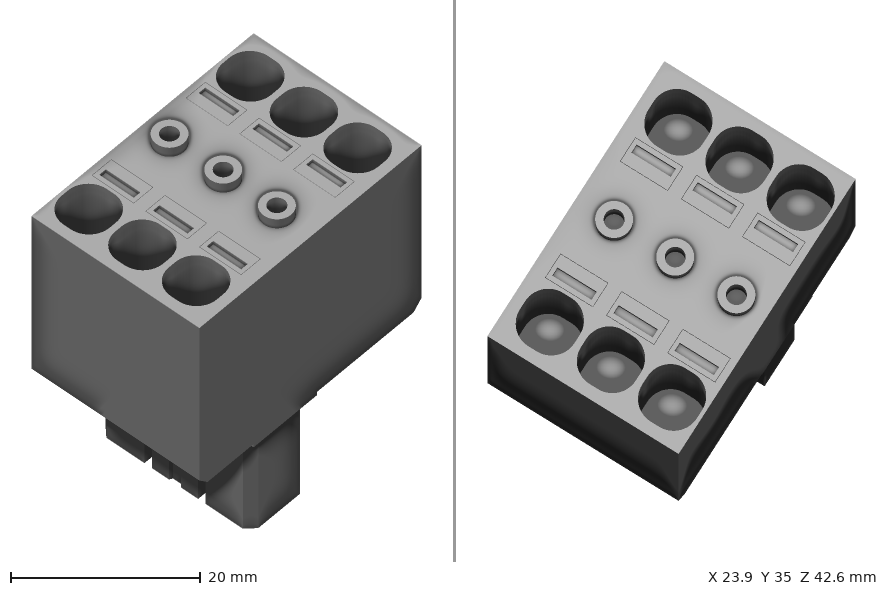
import cadquery as cq


POLE_PITCH = 7.62
POLE_OFFSET_X = -0.45
POLE_XS = [POLE_OFFSET_X + i * POLE_PITCH for i in (-1, 0, 1)]
FIRST_POLE, MIDDLE_POLE, LAST_POLE = range(len(POLE_XS))
ROW_SIDES = (-1, 1)

TOTAL_HEIGHT = 42.6
COLLAR_HEIGHT = 1.4
LEG_LENGTH = 15.45
BASE_PAD_HEIGHT = 0.5
BLOCK_TOP_Z = TOTAL_HEIGHT - COLLAR_HEIGHT
BLOCK_BOTTOM_Z = LEG_LENGTH + BASE_PAD_HEIGHT

BLOCK_X = 23.85
BLOCK_Y = 35.05
BLOCK_CHAMFER = 1.28
BASE_PAD_Y = 10.05
BASE_PAD_CENTER_Y = -3.95

WIRE_ENTRY_SIZE = 6.8
WIRE_ENTRY_CORNER_RADIUS = 2.9
WIRE_ENTRY_DEPTH = 12.77
WIRE_ENTRY_Y = 12.75

COLLAR_DIAMETER = 4.0
COLLAR_HOLE_DIAMETER = 2.2
COLLAR_HOLE_DEPTH = 2.55

LEVER_X = 5.88
LEVER_Y = 3.0
LEVER_DEPTH = 4.25
LEVER_CENTER_Y = 7.4
LEVER_CLEARANCE = 0.05
LEVER_SLOT_X = 4.9
LEVER_SLOT_Y = 1.02
LEVER_SLOT_DEPTH = 0.5
LEVER_SLOT_SHIFT_Y = 0.43

LEG_X = 6.55
LEG_OFFSET_X = 0.3
LAST_LEG_TRIM = 0.13
LEG_FRONT_Y = -7.9
LEG_BACK_YS = (-0.85, -0.6, -0.2)
LEG_CHAMFER = 1.15
GROOVE_MOUTH = 1.7
GROOVE_FLOOR = 1.28
GROOVE_DEPTH = 0.4


def top_block(size_x, size_y, depth, x, y):
    """Rectangular block whose top face is level with the top of the housing block."""
    block = cq.Workplane("XY").box(size_x, size_y, depth, centered=(True, True, False))
    return block.translate((x, y, BLOCK_TOP_Z - depth))


def make_block():
    """Main block with its two lower long edges chamfered, plus the pad below it."""
    height = BLOCK_TOP_Z - BLOCK_BOTTOM_Z
    block = (
        cq.Workplane("XY")
        .workplane(offset=BLOCK_BOTTOM_Z)
        .box(BLOCK_X, BLOCK_Y, height, centered=(True, True, False))
        .faces("<Z")
        .edges("|X")
        .chamfer(BLOCK_CHAMFER)
    )
    pad = (
        cq.Workplane("XY")
        .workplane(offset=LEG_LENGTH)
        .center(0, BASE_PAD_CENTER_Y)
        .box(BLOCK_X, BASE_PAD_Y, BASE_PAD_HEIGHT, centered=(True, True, False))
    )
    return block.union(pad)


def make_leg(index):
    """Plain rectangular leg hanging below the pad; the last one is trimmed on its outer side."""
    x_min = POLE_XS[index] + LEG_OFFSET_X - LEG_X / 2
    width = LEG_X - LAST_LEG_TRIM if index == LAST_POLE else LEG_X
    depth = LEG_BACK_YS[index] - LEG_FRONT_Y
    leg = cq.Workplane("XY").box(width, depth, LEG_LENGTH, centered=False)
    return leg.translate((x_min, LEG_FRONT_Y, 0))


def make_key_groove():
    """Trapezoidal groove down the front of the middle leg, narrower at its floor."""
    floor_y = LEG_FRONT_Y + GROOVE_DEPTH
    outline = [
        (-GROOVE_MOUTH / 2, LEG_FRONT_Y),
        (GROOVE_MOUTH / 2, LEG_FRONT_Y),
        (GROOVE_FLOOR / 2, floor_y),
        (-GROOVE_FLOOR / 2, floor_y),
    ]
    groove = cq.Workplane("XY").polyline(outline).close().extrude(LEG_LENGTH)
    return groove.translate((POLE_XS[MIDDLE_POLE] + LEG_OFFSET_X, 0, 0))


def make_legs():
    """Three legs: the outer two chamfered at their outer front edge, the middle one grooved."""
    first = make_leg(FIRST_POLE).faces("<Y").edges("<X").chamfer(LEG_CHAMFER)
    middle = make_leg(MIDDLE_POLE).cut(make_key_groove())
    last = make_leg(LAST_POLE).faces("<Y").edges(">X").chamfer(LEG_CHAMFER)
    return [first, middle, last]


def make_collar(x):
    """Round collar standing on the top face."""
    collar = cq.Workplane("XY").workplane(offset=BLOCK_TOP_Z).center(x, 0).circle(COLLAR_DIAMETER / 2)
    return collar.extrude(COLLAR_HEIGHT)


def make_collar_hole(x):
    """Blind hole down through a collar into the block."""
    hole = cq.Workplane("XY").workplane(offset=TOTAL_HEIGHT).center(x, 0).circle(COLLAR_HOLE_DIAMETER / 2)
    return hole.extrude(-COLLAR_HOLE_DEPTH)


def make_wire_entry(x, side):
    """Blind wire entry with a rounded-square section."""
    entry = top_block(WIRE_ENTRY_SIZE, WIRE_ENTRY_SIZE, WIRE_ENTRY_DEPTH, x, side * WIRE_ENTRY_Y)
    return entry.edges("|Z").fillet(WIRE_ENTRY_CORNER_RADIUS)


def make_lever_pocket(x, side):
    """Pocket around a lever, with clearance on its four sides."""
    size_x = LEVER_X + 2 * LEVER_CLEARANCE
    size_y = LEVER_Y + 2 * LEVER_CLEARANCE
    return top_block(size_x, size_y, LEVER_DEPTH, x, side * LEVER_CENTER_Y)


def make_housing():
    """Block, legs and collars as one solid, with all openings cut into it."""
    housing = make_block()
    for leg in make_legs():
        housing = housing.union(leg)
    for x in POLE_XS:
        housing = housing.union(make_collar(x)).cut(make_collar_hole(x))
        for side in ROW_SIDES:
            housing = housing.cut(make_wire_entry(x, side)).cut(make_lever_pocket(x, side))
    return housing


def make_lever(x, side):
    """Release lever flush with the top face, with a shallow screwdriver slot near its outer edge."""
    lever = top_block(LEVER_X, LEVER_Y, LEVER_DEPTH, x, side * LEVER_CENTER_Y)
    slot_y = side * (LEVER_CENTER_Y + LEVER_SLOT_SHIFT_Y)
    slot = top_block(LEVER_SLOT_X, LEVER_SLOT_Y, LEVER_SLOT_DEPTH, x, slot_y)
    return lever.cut(slot)


housing = make_housing()
levers = [make_lever(x, side) for x in POLE_XS for side in ROW_SIDES]

result = cq.Compound.makeCompound([housing.val(), *[lever.val() for lever in levers]])